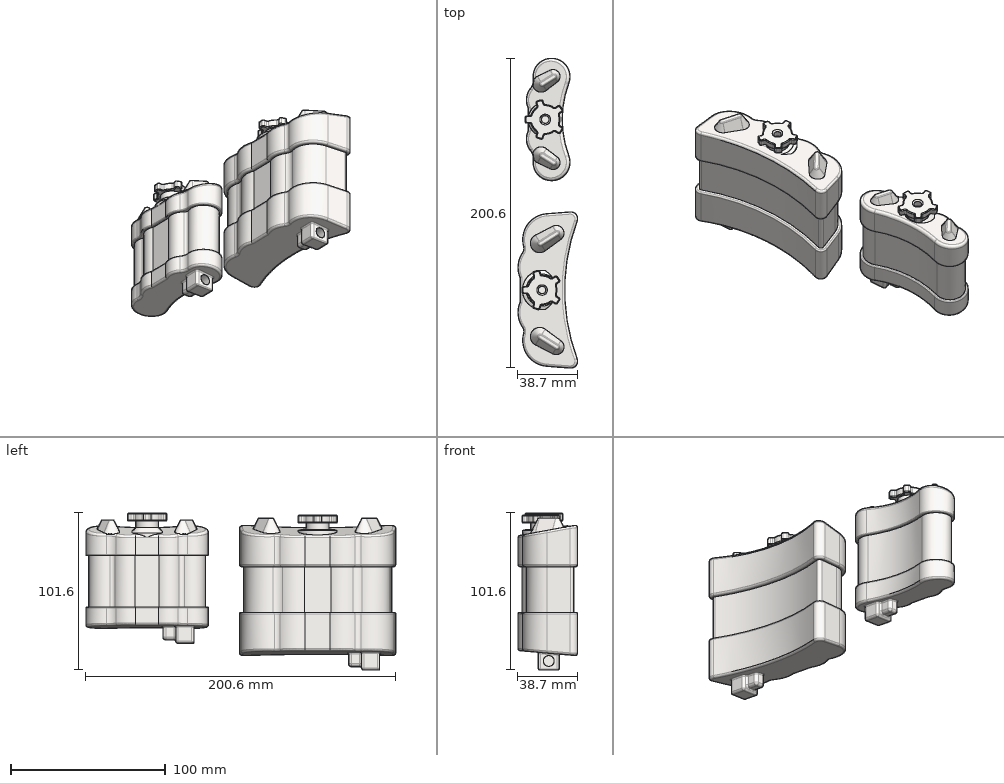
import cadquery as cq
import math


BOTTOM_SLOPE = math.tan(math.radians(5.0))
TALL = 200.0

HORN_ANGLE = 32.0
HORN_TAPER = 27.0
HORN_RIDGE_RADIUS = 1.5
HORN_RIDGE_FILLET = 0.8

KNOB_LOBES = 5
KNOB_TIP_RADIUS = 13.0
KNOB_CORE_RADIUS = 9.6
KNOB_LOBE_WIDTH = 4.8
KNOB_HEIGHT = 5.1
KNOB_SIDE_FILLET = 1.2
KNOB_EDGE_CHAMFER = 0.6
KNOB_RIM_CHAMFER = 1.0
NECK_DIAMETER = 15.0

LUG_WIDTH = 13.8
LUG_LENGTH = 11.8
LUG_FILLET = 1.5
LUG_FACE_FILLET = 0.8
LUG_JOINT_FILLET = 0.8
LUG_BORE_DIAMETER = 7.0
LUG_BORE_DEPTH = 8.0
LUG_BORE_HEIGHT = 6.0
LUG_ROOT = 1.0
SEAM_MARGIN = 0.1
BACK_BLOCK_INSET = 3.0
BACK_BLOCK_LENGTH = 8.4
BACK_BLOCK_STEP = 2.2
BACK_BLOCK_FILLET = 2.0
BACK_BLOCK_CORNER_FILLET = 1.2


def toward(center, target, distance):
    """Point at a distance from center, in the direction of target."""
    dx = target[0] - center[0]
    dy = target[1] - center[1]
    length = math.hypot(dx, dy)
    return (center[0] + distance * dx / length, center[1] + distance * dy / length)


def polar(center, radius, angle):
    """Point of a circle at an angle in radians from +X."""
    return (center[0] + radius * math.cos(angle), center[1] + radius * math.sin(angle))


def arc_middle(center, radius, start, end):
    """Middle of the shorter arc between two points of a circle."""
    chord_middle = ((start[0] + end[0]) / 2, (start[1] + end[1]) / 2)
    return toward(center, chord_middle, radius)


def mirrored(point):
    return (point[0], -point[1])


def blend_center(first, second, reach):
    """Point on the -X side that is the same reach from two circle centers."""
    half = math.dist(first, second) / 2
    axis = math.atan2(second[1] - first[1], second[0] - first[0])
    return polar(first, reach, axis + math.acos(half / reach))


def cell_front(bump, end, radius, blend_radius, flat_x):
    """-X stretch of a half outline, from the flat over the bump and a hollow blend to the end arc.

    Returns the end of the flat, the two arcs and the start of the end arc.
    """
    flat_end = (flat_x, bump[1] - math.sqrt(radius**2 - (flat_x - bump[0])**2))
    blend = blend_center(bump, end, radius + blend_radius)
    bump_end = toward(bump, blend, radius)
    end_start = toward(end, blend, radius)
    arcs = [
        ((bump[0] - radius, bump[1]), bump_end),
        (arc_middle(blend, blend_radius, bump_end, end_start), end_start),
    ]
    return flat_end, arcs, end_start


def draw_symmetric(start, steps, crossing):
    """Closed outline, mirrored about the X axis, from the steps of its +Y half.

    Each step is (arc middle, end point), with None as the middle for a line. The
    halves are joined by an arc through the crossing point and a line at the start.
    """
    outline = cq.Workplane("XY").moveTo(*start)
    corners = [start] + [end for _, end in steps]
    for middle, end in steps:
        outline = outline.threePointArc(middle, end) if middle else outline.lineTo(*end)
    outline = outline.threePointArc(crossing, mirrored(corners[-1]))
    for index in reversed(range(len(steps))):
        middle = steps[index][0]
        end = mirrored(corners[index])
        outline = outline.threePointArc(mirrored(middle), end) if middle else outline.lineTo(*end)
    return outline.close()


def round_ended_outline(inset=0.0, blend_radius=8.0):
    """Rear canister in plan: round ends joined by a hollow back, with two bumps in front."""
    bump = (-1.9, 12.6)
    end = (2.4, 27.65)
    flat_x = -12.7
    back_x = 9.4
    cell_radius = 12.0
    reach = end[0] - back_x
    back_radius = (reach**2 + end[1]**2 - cell_radius**2) / (2 * (cell_radius + reach))

    radius = cell_radius - inset
    start, arcs, end_start = cell_front(bump, end, radius, blend_radius, flat_x + inset)
    back_center = (back_x + back_radius, 0.0)
    end_finish = toward(end, back_center, radius)
    outermost = (end[0], end[1] + radius)
    steps = arcs + [(outermost, end_finish)]
    return draw_symmetric(start, steps, (back_x - inset, 0.0))


def horned_outline(inset=0.0, blend_radius=4.7):
    """Front canister in plan: like the rear one, but its ends run out to small rounded corners."""
    bump = (-2.33, 14.6)
    end = (0.7, 32.5)
    corner = (14.83, 46.1)
    flat_x = -18.0
    back_x = 11.0
    cell_radius = 17.0
    corner_base_radius = 4.5
    reach = corner[0] - back_x
    back_radius = (reach**2 + corner[1]**2 - corner_base_radius**2) / (2 * (corner_base_radius + reach))

    radius = cell_radius - inset
    corner_radius = corner_base_radius - inset
    start, arcs, end_start = cell_front(bump, end, radius, blend_radius, flat_x + inset)
    axis = math.atan2(corner[1] - end[1], corner[0] - end[0])
    normal = axis + math.acos((radius - corner_radius) / math.dist(end, corner))
    end_finish = polar(end, radius, normal)
    corner_start = polar(corner, corner_radius, normal)
    back_center = (back_x + back_radius, 0.0)
    corner_finish = toward(corner, back_center, corner_radius)
    steps = arcs + [
        (arc_middle(end, radius, end_start, end_finish), end_finish),
        (None, corner_start),
        (arc_middle(corner, corner_radius, corner_start, corner_finish), corner_finish),
    ]
    return draw_symmetric(start, steps, (back_x - inset, 0.0))


def sloped_slab(bottom_z, bottom_slope, top_z, top_slope):
    """Wide slab between two faces that pass x = 0 at the given heights and tilt along X."""
    half = TALL / 2
    return (
        cq.Workplane("XZ")
        .moveTo(-half, bottom_z - half * bottom_slope)
        .lineTo(half, bottom_z + half * bottom_slope)
        .lineTo(half, top_z + half * top_slope)
        .lineTo(-half, top_z - half * top_slope)
        .close()
        .extrude(half, both=True)
    )


def column(outline):
    """Outline carried far up and down, to be trimmed to height."""
    return outline.extrude(TALL / 2, both=True)


def horn(spec, side):
    """Grip horn, tapering from its ridge down into the head cap."""
    length = spec["horn_length"] + 2 * HORN_RIDGE_RADIUS
    x, y = spec["horn_center"]
    return (
        cq.Workplane("XY")
        .slot2D(length, 2 * HORN_RIDGE_RADIUS)
        .extrude(-spec["horn_depth"], taper=-HORN_TAPER)
        .faces(">Z")
        .edges()
        .fillet(HORN_RIDGE_FILLET)
        .rotate((0, 0, 0), (0, 0, 1), side * HORN_ANGLE)
        .translate((x, side * y, spec["horn_top_z"]))
    )


def flange(spec):
    """Level coned seat for the knob neck."""
    base_z = (spec["sleeve_top_z"] + spec["top_z"]) / 2
    return (
        cq.Workplane("XZ")
        .moveTo(0, base_z)
        .lineTo(spec["flange_rim_radius"], base_z)
        .lineTo(spec["flange_rim_radius"], spec["flange_rim_z"])
        .lineTo(spec["flange_top_radius"], spec["flange_top_z"])
        .lineTo(0, spec["flange_top_z"])
        .close()
        .revolve(360, (0, 0), (0, 1))
        .translate((spec["knob_x"], 0, 0))
    )


def neck(spec):
    height = spec["knob_top_z"] - spec["neck_base_z"]
    return (
        cq.Workplane("XY", origin=(spec["knob_x"], 0, spec["neck_base_z"]))
        .circle(NECK_DIAMETER / 2)
        .extrude(height)
    )


def head_cap(spec):
    plain = sloped_slab(spec["sleeve_top_z"], 0, spec["top_z"], math.tan(math.radians(spec["top_angle"])))
    shell = column(spec["outline"]())
    cap = shell.intersect(plain)
    cap = cap.faces(">Z").edges().fillet(spec["crown_fillet"])
    cap = cap.faces("<Z").edges().fillet(spec["rim_fillet"])
    fittings = flange(spec)
    for side in (1, -1):
        fittings = fittings.union(horn(spec, side))
    cap = cap.union(fittings.intersect(shell))
    return cap.cut(neck(spec))


def sleeve(spec):
    height = spec["sleeve_top_z"] - spec["sleeve_bottom_z"]
    return (
        spec["outline"](spec["sleeve_inset"], spec["sleeve_blend_radius"])
        .extrude(height)
        .translate((0, 0, spec["sleeve_bottom_z"]))
    )


def drain_lug(spec):
    """Bored main block with a lower, narrower block on its +Y side."""
    x, outer_y = spec["lug_start"]
    bottom_z = spec["lug_bottom_z"]
    height = spec["bottom_z"] - bottom_z + LUG_ROOT
    inner_y = outer_y + LUG_LENGTH
    main = (
        cq.Workplane("XY")
        .box(LUG_WIDTH, LUG_LENGTH, height, centered=(True, False, False))
        .edges("|Z or (<Z and >Y) or (<Z and |Y)")
        .fillet(LUG_FILLET)
        .faces("<Y")
        .edges("<Z")
        .fillet(LUG_FACE_FILLET)
        .translate((x, outer_y, bottom_z))
    )
    back = (
        cq.Workplane("XY")
        .box(
            LUG_WIDTH - 2 * BACK_BLOCK_INSET,
            BACK_BLOCK_LENGTH + LUG_LENGTH / 2,
            height - BACK_BLOCK_STEP,
            centered=(True, False, False),
        )
        .edges("(|Z and >Y) or (<Z and >Y) or (<Z and |Y)")
        .fillet(BACK_BLOCK_FILLET)
        .translate((x, inner_y - LUG_LENGTH / 2, bottom_z + BACK_BLOCK_STEP))
    )
    bore = (
        cq.Workplane("XZ", origin=(x, outer_y, bottom_z + LUG_BORE_HEIGHT))
        .circle(LUG_BORE_DIAMETER / 2)
        .extrude(-LUG_BORE_DEPTH)
    )
    seam = cq.selectors.BoxSelector(
        (x - LUG_WIDTH / 2, inner_y - SEAM_MARGIN, bottom_z),
        (x + LUG_WIDTH / 2, inner_y + SEAM_MARGIN, spec["bottom_z"]),
    )
    lug = main.union(back)
    lug = lug.edges(seam).edges("|Z").fillet(BACK_BLOCK_CORNER_FILLET)
    return lug.cut(bore)


def lug_joint(spec):
    """Selector for the edges where the drain lug meets the foot cap."""
    x, outer_y = spec["lug_start"]
    reach_z = LUG_WIDTH * BOTTOM_SLOPE
    half_width = LUG_WIDTH / 2 + LUG_JOINT_FILLET
    return cq.selectors.BoxSelector(
        (x - half_width, outer_y - LUG_JOINT_FILLET, spec["bottom_z"] - reach_z),
        (x + half_width, outer_y + LUG_LENGTH + BACK_BLOCK_LENGTH, spec["bottom_z"] + reach_z),
    )


def foot_cap(spec):
    plain = sloped_slab(spec["bottom_z"], -BOTTOM_SLOPE, spec["sleeve_bottom_z"], 0)
    cap = column(spec["outline"]()).intersect(plain)
    cap = cap.faces("<Z").edges().fillet(spec["foot_fillet"])
    cap = cap.faces(">Z").edges().fillet(spec["ledge_fillet"])
    cap = cap.union(drain_lug(spec))
    return cap.edges(lug_joint(spec)).fillet(LUG_JOINT_FILLET)


def knob(spec):
    """Five-lobed knob with a blind center hole, on a round neck."""
    head = cq.Workplane("XY").circle(KNOB_CORE_RADIUS).extrude(KNOB_HEIGHT)
    for index in range(KNOB_LOBES):
        lobe = (
            cq.Workplane("XY")
            .box(KNOB_TIP_RADIUS, KNOB_LOBE_WIDTH, KNOB_HEIGHT, centered=(False, True, False))
            .rotate((0, 0, 0), (0, 0, 1), 180 + index * 360 / KNOB_LOBES)
        )
        head = head.union(lobe)
    head = head.edges("|Z").fillet(KNOB_SIDE_FILLET)
    head = head.faces("<Z or >Z").edges().chamfer(KNOB_EDGE_CHAMFER)
    hole = (
        cq.Workplane("XY", origin=(0, 0, KNOB_HEIGHT))
        .circle(spec["knob_hole_diameter"] / 2)
        .extrude(-KNOB_HEIGHT)
    )
    rim = (
        cq.Workplane("XY", origin=(0, 0, KNOB_HEIGHT))
        .circle(spec["knob_hole_diameter"] / 2 + KNOB_RIM_CHAMFER)
        .extrude(-KNOB_RIM_CHAMFER, taper=45)
    )
    place = (spec["knob_x"], 0, spec["knob_top_z"] - KNOB_HEIGHT)
    body = head.translate(place).union(neck(spec))
    return body.cut(hole.union(rim).translate(place))


rear_canister = {
    "center_y": 60.65,
    "outline": round_ended_outline,
    "sleeve_inset": 1.8,
    "sleeve_blend_radius": 3.0,
    "top_z": 39.8,
    "top_angle": 13.5,
    "sleeve_top_z": 23.3,
    "sleeve_bottom_z": -9.9,
    "bottom_z": -22.7,
    "crown_fillet": 1.9,
    "foot_fillet": 1.5,
    "rim_fillet": 0.7,
    "ledge_fillet": 0.7,
    "horn_center": (0.15, 25.5),
    "horn_length": 9.0,
    "horn_top_z": 46.5,
    "horn_depth": 9.3,
    "knob_x": -1.7,
    "knob_top_z": 50.8,
    "knob_hole_diameter": 4.9,
    "neck_base_z": 38.0,
    "flange_top_radius": 7.6,
    "flange_top_z": 41.5,
    "flange_rim_radius": 11.0,
    "flange_rim_z": 38.0,
    "lug_start": (1.7, -30.35),
    "lug_bottom_z": -33.5,
}

front_canister = {
    "center_y": -49.7,
    "outline": horned_outline,
    "sleeve_inset": 2.5,
    "sleeve_blend_radius": 7.2,
    "top_z": 39.8,
    "top_angle": 10.4,
    "sleeve_top_z": 16.1,
    "sleeve_bottom_z": -13.4,
    "bottom_z": -39.8,
    "crown_fillet": 1.5,
    "foot_fillet": 1.5,
    "rim_fillet": 1.6,
    "ledge_fillet": 1.0,
    "horn_center": (0.6, 33.5),
    "horn_length": 12.5,
    "horn_top_z": 47.7,
    "horn_depth": 10.5,
    "knob_x": -3.7,
    "knob_top_z": 49.5,
    "knob_hole_diameter": 4.8,
    "neck_base_z": 38.0,
    "flange_top_radius": 10.4,
    "flange_top_z": 40.4,
    "flange_rim_radius": 12.7,
    "flange_rim_z": 39.5,
    "lug_start": (0.6, -40.2),
    "lug_bottom_z": -50.8,
}

bodies = []
for canister in (rear_canister, front_canister):
    offset = (0, canister["center_y"], 0)
    for build in (foot_cap, sleeve, head_cap, knob):
        bodies.append(build(canister).translate(offset).val())

result = cq.Compound.makeCompound(bodies)